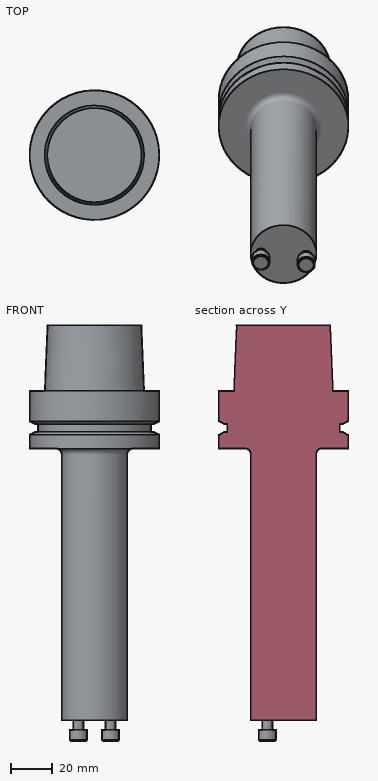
import cadquery as cq
import math

TOTAL_LENGTH = 202.0

SCREW_STEM_DIAMETER = 5.0
SCREW_STEM_LENGTH = 4.6
SCREW_HEAD_DIAMETER = 8.5
SCREW_HEAD_HEIGHT = 5.5
SCREW_HEAD_CHAMFER = 0.6
SCREW_CIRCLE_DIAMETER = 22.0
SCREW_ANGLES = (135, 315)

SHANK_DIAMETER = 32.0
SHANK_FILLET = 2.8

FLANGE_DIAMETER = 63.0
FLANGE_HEIGHT = 28.0
LOWER_RIM_HEIGHT = 6.7
UPPER_RIM_HEIGHT = 14.7
GROOVE_DIAMETER = 55.0
GROOVE_BEVEL_HEIGHT = 1.5
GROOVE_BEVEL_WIDTH = 2.6

CONE_HEIGHT = 32.0
CONE_BASE_DIAMETER = 48.3
CONE_TOP_DIAMETER = 45.7

shank_bottom = SCREW_HEAD_HEIGHT + SCREW_STEM_LENGTH
flange_top = TOTAL_LENGTH - CONE_HEIGHT
flange_bottom = flange_top - FLANGE_HEIGHT
groove_bottom = flange_bottom + LOWER_RIM_HEIGHT
groove_top = flange_top - UPPER_RIM_HEIGHT


def turned_body():
    """Shank, grooved flange and cone as one revolved half profile."""
    shank_radius = SHANK_DIAMETER / 2
    flange_radius = FLANGE_DIAMETER / 2
    groove_radius = GROOVE_DIAMETER / 2
    bevel_radius = flange_radius - GROOVE_BEVEL_WIDTH
    floor_bottom = groove_bottom + GROOVE_BEVEL_HEIGHT
    floor_top = groove_top - GROOVE_BEVEL_HEIGHT
    profile = (
        cq.Workplane("XZ")
        .moveTo(0, shank_bottom)
        .lineTo(shank_radius, shank_bottom)
        .lineTo(shank_radius, flange_bottom - SHANK_FILLET)
        .radiusArc((shank_radius + SHANK_FILLET, flange_bottom), SHANK_FILLET)
        .lineTo(flange_radius, flange_bottom)
        .lineTo(flange_radius, groove_bottom)
        .lineTo(bevel_radius, floor_bottom)
        .lineTo(groove_radius, floor_bottom)
        .lineTo(groove_radius, floor_top)
        .lineTo(bevel_radius, floor_top)
        .lineTo(flange_radius, groove_top)
        .lineTo(flange_radius, flange_top)
        .lineTo(CONE_BASE_DIAMETER / 2, flange_top)
        .lineTo(CONE_TOP_DIAMETER / 2, TOTAL_LENGTH)
        .lineTo(0, TOTAL_LENGTH)
        .close()
    )
    return profile.revolve(360, (0, 0, 0), (0, 1, 0))


def screw(angle):
    """Chamfered cap screw under the shank, at an angle on the screw circle."""
    head = (
        cq.Workplane("XY")
        .circle(SCREW_HEAD_DIAMETER / 2)
        .extrude(SCREW_HEAD_HEIGHT)
        .faces("<Z")
        .chamfer(SCREW_HEAD_CHAMFER)
    )
    stem = (
        cq.Workplane("XY")
        .workplane(offset=SCREW_HEAD_HEIGHT)
        .circle(SCREW_STEM_DIAMETER / 2)
        .extrude(SCREW_STEM_LENGTH)
    )
    circle_radius = SCREW_CIRCLE_DIAMETER / 2
    x = circle_radius * math.cos(math.radians(angle))
    y = circle_radius * math.sin(math.radians(angle))
    return head.union(stem).translate((x, y, 0))


result = turned_body()
for screw_angle in SCREW_ANGLES:
    result = result.union(screw(screw_angle))

result = result.translate((0, 0, -TOTAL_LENGTH / 2))